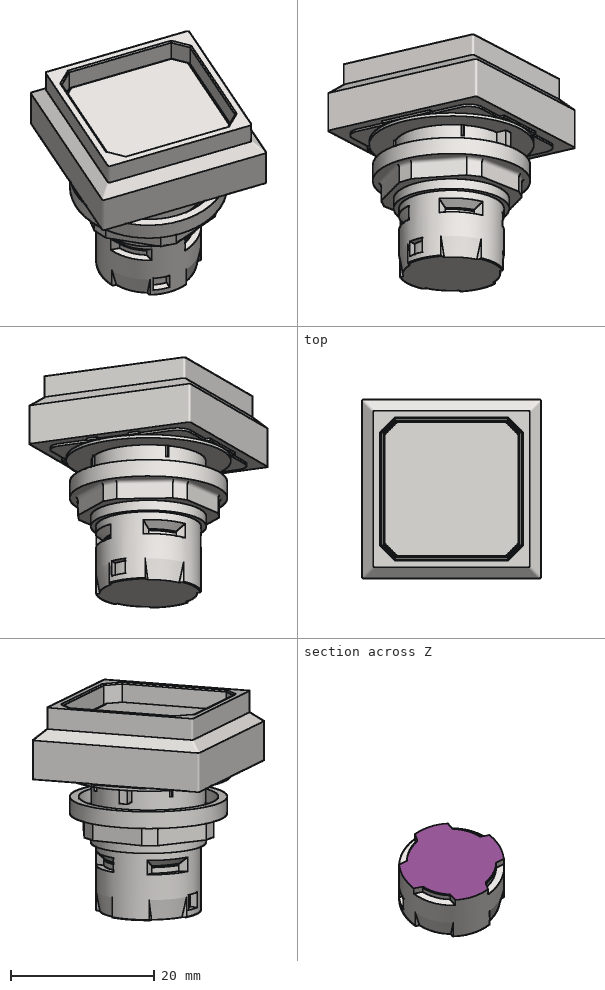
import cadquery as cq
import math


BARREL_TOP = 9.7
NUT_BOTTOM = 11.15
FLANGE_BOTTOM = 13.82
FLANGE_TOP = 16.2
PLATE_BOTTOM = 19.23
PLATE_TOP = 19.68
HEAD_BOTTOM = 20.0
TAPER_BOTTOM = 25.57
TAPER_TOP = 27.0
TOP = 30.05

HEAD_SIDE = 25.0
CAP_SIDE = 21.88
CORNER_RADIUS = 0.3

RIM_SIDE = 19.95
RIM_CORNER_CUT = 2.1
RIM_CHAMFER = 0.2
GROOVE_WIDTH = 0.25
LENS_CHAMFER = 0.2
LENS_TOP = TOP - 2.7
GROOVE_FLOOR = LENS_TOP - 0.5

PLATE_DIAMETER = 23.0
GASKET_SIDE = 21.52
GASKET_CORNER_RADIUS = 2.07
TAB_WIDTH = 8.0
TAB_NOTCH_WIDTH = 4.87

NECK_DIAMETER = 16.0
POST_SIDE = 0.4
POST_OFFSET = 5.62
POST_BOTTOM = 17.65
KEY_WIDTH = 1.2
KEY_REACH = 9.53
KEY_BOTTOM = 16.9

FLANGE_DIAMETER = 22.0
RECESS_DIAMETER = 19.5
RECESS_DEPTH = 2.0
NUT_ACROSS_FLATS = 18.1
NUT_ACROSS_CORNER_CUTS = 19.6
NUT_TURN = 22.7
HALF_FACE_TURN = 360 / 12
NUT_FILLET = 0.5
COLLAR_DIAMETER = 16.15
JOINT_TOLERANCE = 0.03

BARREL_DIAMETER = 14.7
BARREL_RADIUS = BARREL_DIAMETER / 2
BARREL_CHAMFER = 0.12
CORNER_ANGLES = (45, 135, 225, 315)
FLARE_ANGLE = 54.5

SLOT_BACK_RADIUS = 12.5 / 2
GAP_BACK_RADIUS = 12.1 / 2
SLOT_HALF_WIDTH = 3.1
SLOT_BOTTOM = 6.52
SLOT_LEDGE = 7.33
SLOT_INNER_TOP = 7.55
SLOT_OUTER_TOP = 8.55

FOOT_HALF_WIDTH = 2.85
FOOT_TOP = 2.9
FOOT_INNER_RADIUS = 6.8

POCKET_WIDTH = 2.3
POCKET_OFFSET = 1.17
POCKET_BOTTOM = 1.0
POCKET_TOP = 3.15

CLEARANCE = 0.9


def cylinder(diameter, bottom, top):
    return cq.Workplane("XY").workplane(offset=bottom).circle(diameter / 2).extrude(top - bottom)


def block(x_size, y_size, bottom, top):
    return cq.Workplane("XY").workplane(offset=bottom).rect(x_size, y_size).extrude(top - bottom)


def revolve_profile(points):
    """Solid of revolution about Z from (radius, height) points."""
    return cq.Workplane("XZ").polyline(points).close().revolve(360, (0, 0), (0, 1))


def rounded_square(side):
    return cq.Sketch().rect(side, side).vertices().fillet(CORNER_RADIUS)


def octagon(inset):
    """Outline of the window rim moved inwards by the inset."""
    side = RIM_SIDE - 2 * inset
    corner_cut = RIM_CORNER_CUT - inset * (2 - math.sqrt(2))
    return cq.Sketch().rect(side, side).vertices().chamfer(corner_cut)


def octagon_prism(inset, bottom, top):
    return cq.Workplane("XY").workplane(offset=bottom).placeSketch(octagon(inset)).extrude(top - bottom)


def make_head():
    lower = (
        cq.Workplane("XY").workplane(offset=HEAD_BOTTOM)
        .placeSketch(rounded_square(HEAD_SIDE)).extrude(TAPER_BOTTOM - HEAD_BOTTOM)
    )
    taper = (
        cq.Workplane("XY").workplane(offset=TAPER_BOTTOM)
        .placeSketch(
            rounded_square(HEAD_SIDE),
            rounded_square(CAP_SIDE).moved(cq.Location(cq.Vector(0, 0, TAPER_TOP - TAPER_BOTTOM))),
        )
        .loft(ruled=True)
    )
    cap = (
        cq.Workplane("XY").workplane(offset=TAPER_TOP)
        .placeSketch(rounded_square(CAP_SIDE)).extrude(TOP - TAPER_TOP)
    )
    window = octagon_prism(RIM_CHAMFER, GROOVE_FLOOR, TOP)
    rim_bevel = (
        cq.Workplane("XY").workplane(offset=TOP - RIM_CHAMFER)
        .placeSketch(
            octagon(RIM_CHAMFER),
            octagon(0).moved(cq.Location(cq.Vector(0, 0, RIM_CHAMFER))),
        )
        .loft(ruled=True)
    )
    lens = octagon_prism(RIM_CHAMFER + GROOVE_WIDTH, GROOVE_FLOOR, LENS_TOP).faces(">Z").chamfer(LENS_CHAMFER)
    return lower.union(taper).union(cap).cut(window).cut(rim_bevel).union(lens)


def make_gasket():
    square = block(GASKET_SIDE, GASKET_SIDE, PLATE_TOP, HEAD_BOTTOM).edges("|Z").fillet(GASKET_CORNER_RADIUS)
    cross = block(PLATE_DIAMETER, TAB_WIDTH, PLATE_TOP, HEAD_BOTTOM)
    cross = cross.union(block(TAB_WIDTH, PLATE_DIAMETER, PLATE_TOP, HEAD_BOTTOM))
    notch_depth = (PLATE_DIAMETER - GASKET_SIDE) / 2
    notch = block(notch_depth, TAB_NOTCH_WIDTH, PLATE_TOP, HEAD_BOTTOM)
    notch = notch.translate((-(PLATE_DIAMETER - notch_depth) / 2, 0, 0))
    plate = cylinder(PLATE_DIAMETER, PLATE_BOTTOM, PLATE_TOP)
    return plate.union(square).union(cross.cut(notch))


def make_neck():
    neck = cylinder(NECK_DIAMETER, NUT_BOTTOM, PLATE_BOTTOM)
    for x_sign in (-1, 1):
        for y_sign in (-1, 1):
            post = block(POST_SIDE, POST_SIDE, POST_BOTTOM, PLATE_BOTTOM)
            neck = neck.union(post.translate((x_sign * POST_OFFSET, y_sign * POST_OFFSET, 0)))
    key = block(KEY_WIDTH, KEY_REACH, KEY_BOTTOM, PLATE_BOTTOM).translate((0, KEY_REACH / 2, 0))
    return neck.union(key)


def hexagon(across_flats, turn):
    prism = (
        cq.Workplane("XY").workplane(offset=NUT_BOTTOM)
        .polygon(6, across_flats, circumscribed=True).extrude(FLANGE_BOTTOM - NUT_BOTTOM)
    )
    return prism.rotate((0, 0, 0), (0, 0, 1), turn)


def make_nut():
    corner_cuts = hexagon(NUT_ACROSS_CORNER_CUTS, NUT_TURN + HALF_FACE_TURN)
    body = hexagon(NUT_ACROSS_FLATS, NUT_TURN).intersect(corner_cuts)
    nut = body.union(cylinder(FLANGE_DIAMETER, FLANGE_BOTTOM, FLANGE_TOP))
    joint = cq.selectors.BoxSelector(
        (-FLANGE_DIAMETER, -FLANGE_DIAMETER, FLANGE_BOTTOM - JOINT_TOLERANCE),
        (FLANGE_DIAMETER, FLANGE_DIAMETER, FLANGE_BOTTOM + JOINT_TOLERANCE),
    )
    nut = nut.edges(joint).edges("%LINE").fillet(NUT_FILLET)
    return nut.cut(cylinder(RECESS_DIAMETER, FLANGE_TOP - RECESS_DEPTH, FLANGE_TOP))


def flared_wedge(half_width, angle):
    """Tall prism narrowing towards the axis, half_width wide to each side at the barrel surface."""
    surface = math.sqrt(BARREL_RADIUS**2 - half_width**2)
    near = GAP_BACK_RADIUS - CLEARANCE
    far = BARREL_RADIUS + CLEARANCE
    spread = math.tan(math.radians(FLARE_ANGLE))
    near_half = half_width - (surface - near) * spread
    far_half = half_width + (far - surface) * spread
    outline = [(near, -near_half), (far, -far_half), (far, far_half), (near, near_half)]
    return cq.Workplane("XY").polyline(outline).close().extrude(BARREL_TOP).rotate((0, 0, 0), (0, 0, 1), angle)


def make_barrel():
    barrel = cylinder(BARREL_DIAMETER, 0, BARREL_TOP).faces("<Z").chamfer(BARREL_CHAMFER)
    outside = BARREL_RADIUS + CLEARANCE
    ceiling_slope = (SLOT_OUTER_TOP - SLOT_INNER_TOP) / (BARREL_RADIUS - SLOT_BACK_RADIUS)
    slot_ring = revolve_profile([
        (SLOT_BACK_RADIUS, SLOT_BOTTOM),
        (outside, SLOT_BOTTOM),
        (outside, SLOT_OUTER_TOP + CLEARANCE * ceiling_slope),
        (SLOT_BACK_RADIUS, SLOT_INNER_TOP),
        (GAP_BACK_RADIUS, SLOT_INNER_TOP),
        (GAP_BACK_RADIUS, SLOT_LEDGE),
        (SLOT_BACK_RADIUS, SLOT_LEDGE),
    ])
    foot_ring = revolve_profile([
        (FOOT_INNER_RADIUS, 0),
        (outside, 0),
        (outside, FOOT_TOP),
        (BARREL_RADIUS, FOOT_TOP),
    ])
    for angle in CORNER_ANGLES:
        barrel = barrel.cut(slot_ring.intersect(flared_wedge(SLOT_HALF_WIDTH, angle)))
        barrel = barrel.cut(foot_ring.intersect(flared_wedge(FOOT_HALF_WIDTH, angle)))

    pocket = block(outside, POCKET_WIDTH, POCKET_BOTTOM, POCKET_TOP).translate((-outside / 2, POCKET_OFFSET, 0))
    pocket = pocket.cut(cylinder(2 * SLOT_BACK_RADIUS, 0, BARREL_TOP))
    for angle in (0, 180):
        barrel = barrel.cut(pocket.rotate((0, 0, 0), (0, 0, 1), angle))
    return barrel


collar = cylinder(COLLAR_DIAMETER, BARREL_TOP, NUT_BOTTOM)
result = make_barrel().union(collar).union(make_nut()).union(make_neck()).union(make_gasket()).union(make_head())